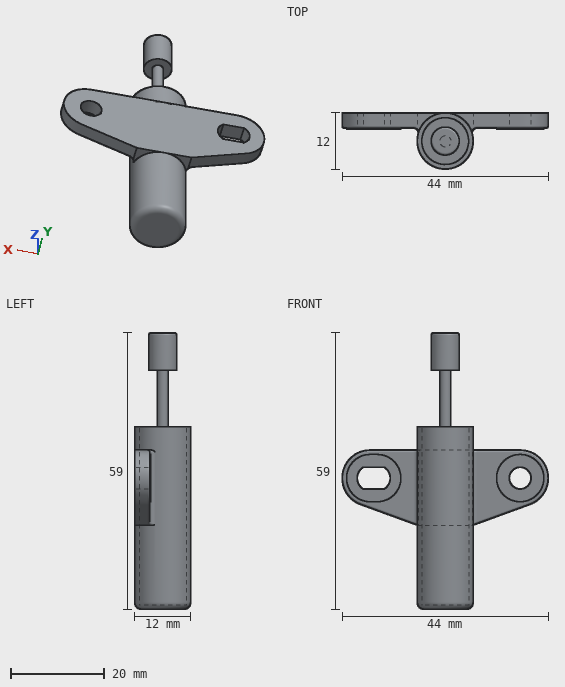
import cadquery as cq
import math

barrel_radius = 6.0
barrel_height = 39.0
barrel_bottom_fillet = 1.5
barrel_wall = 1.0

ear_radius = 6.0
ear_center_x = 16.0
ear_center_z = 28.0
ear_thickness = 3.25
ear_taper_angle = math.radians(20)
ear_edge_fillet = 0.5
ear_root_fillet = 1.0
ear_back_y = barrel_radius
ear_front_y = ear_back_y - ear_thickness

pad_radius = 5.05
pad_height = 0.2
screw_hole_radius = 2.3

slot_stretch = 1.5
slot_end_radius = 2.75
slot_width = 2 * screw_hole_radius

damper_radius = barrel_radius - barrel_wall
damper_length = barrel_height - barrel_wall

rod_radius = 1.2
rod_length = 12.0
head_radius = 3.0
head_length = 8.0
head_fillet = 0.5


def cylinder(radius, length, base_z):
    return cq.Workplane("XY").workplane(offset=base_z).circle(radius).extrude(length)


def facing_front(y):
    """Workplane at depth y whose normal is -Y, with local axes X and Z."""
    return cq.Workplane("XZ", origin=(0, y, 0))


def make_ear_plate():
    top_z = ear_center_z + ear_radius
    tangent_x = ear_center_x + ear_radius * math.sin(ear_taper_angle)
    tangent_z = ear_center_z - ear_radius * math.cos(ear_taper_angle)
    tip_x = ear_center_x + ear_radius
    middle_z = tangent_z - tangent_x * math.tan(ear_taper_angle)
    return (
        facing_front(ear_back_y)
        .moveTo(-ear_center_x, top_z)
        .lineTo(ear_center_x, top_z)
        .threePointArc((tip_x, ear_center_z), (tangent_x, tangent_z))
        .lineTo(0, middle_z)
        .lineTo(-tangent_x, tangent_z)
        .threePointArc((-tip_x, ear_center_z), (-ear_center_x, top_z))
        .close()
        .extrude(ear_thickness)
    )


def make_level_trim(barrel):
    """Space behind the barrel, below the height where the tapers reach the barrel sides."""
    taper_run = ear_center_x - barrel_radius
    taper_drop = ear_radius / math.cos(ear_taper_angle) + taper_run * math.tan(ear_taper_angle)
    trim_top_z = ear_center_z - taper_drop
    space = cq.Workplane("XY").box(
        2 * barrel_radius, ear_back_y, trim_top_z, centered=(True, False, False)
    )
    return space.cut(barrel)


def make_oblong(end_radius, front_y):
    """Oblong prism on the slotted ear, from the back face to front_y."""
    return (
        facing_front(ear_back_y)
        .center(-ear_center_x + slot_stretch / 2, ear_center_z)
        .slot2D(slot_stretch + 2 * end_radius, 2 * end_radius)
        .extrude(ear_back_y - front_y)
    )


def make_round(radius, front_y):
    """Round prism on the plain ear, from the back face to front_y."""
    return (
        facing_front(ear_back_y)
        .center(ear_center_x, ear_center_z)
        .circle(radius)
        .extrude(ear_back_y - front_y)
    )


def make_slot_cutter(front_y):
    flats = (
        facing_front(ear_back_y)
        .center(-ear_center_x + slot_stretch / 2, ear_center_z)
        .rect(slot_stretch + 2 * slot_end_radius, slot_width)
        .extrude(ear_back_y - front_y)
    )
    return make_oblong(slot_end_radius, front_y).intersect(flats)


def make_housing():
    barrel = cylinder(barrel_radius, barrel_height, 0)
    barrel = barrel.faces("<Z").edges().fillet(barrel_bottom_fillet)
    body = barrel.union(make_ear_plate())

    root_x = math.sqrt(barrel_radius**2 - ear_front_y**2)
    for side in (-1, 1):
        root_point = (side * root_x, ear_front_y, ear_center_z)
        root = cq.selectors.NearestToPointSelector(root_point)
        body = body.edges("|Z").edges(root).fillet(ear_root_fillet)

    for side in (-1, 1):
        rim_point = (side * (ear_center_x + ear_radius), ear_front_y, ear_center_z)
        rim = cq.selectors.NearestToPointSelector(rim_point)
        body = body.edges(rim).fillet(ear_edge_fillet)

    body = body.cut(make_level_trim(barrel))

    pad_front_y = ear_front_y - pad_height
    body = body.union(make_oblong(pad_radius, pad_front_y)).union(make_round(pad_radius, pad_front_y))
    body = body.cut(make_slot_cutter(pad_front_y)).cut(make_round(screw_hole_radius, pad_front_y))
    return body.cut(cylinder(damper_radius, damper_length, barrel_wall))


def make_damper():
    return cylinder(damper_radius, damper_length, barrel_wall)


def make_plunger():
    head = cylinder(head_radius, head_length, barrel_height + rod_length)
    head = head.faces(">Z").edges().fillet(head_fillet)
    return cylinder(rod_radius, rod_length, barrel_height).union(head)


housing = make_housing()
damper = make_damper()
plunger = make_plunger()

result = cq.Compound.makeCompound([housing.val(), damper.val(), plunger.val()])